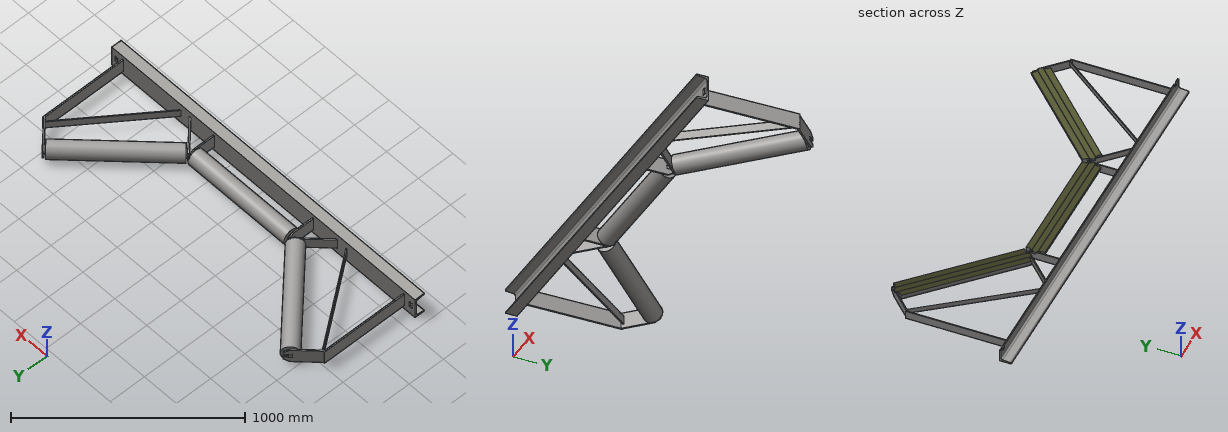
import cadquery as cq
import math


BEAM_LENGTH = 1900.0
BEAM_DEPTH = 120.0
FLANGE_WIDTH = 55.0
WEB_THICKNESS = 8.0
FLANGE_THICKNESS = 9.0
FLANGE_SLOPE = 0.08
ROOT_RADIUS = 9.0
TOE_RADIUS = 4.5
MOUNT_HOLE_LENGTH = 17.0
MOUNT_HOLE_WIDTH = 28.0
MOUNT_HOLE_FROM_END = 28.0

ROLLER_LENGTH = 600.0
ROLLER_DIAMETER = 90.0
ROLLER_RADIUS = ROLLER_DIAMETER / 2
BOSS_BASE_RADIUS = 25.0
END_GAP = 6.6
BOSS_TIP_RADIUS = BOSS_BASE_RADIUS - END_GAP
SHAFT_RADIUS = 12.4
SHAFT_TONGUE = 17.0
CENTRE_ROLLER_HEIGHT = 115.0
SIDE_ROLLER_X = 555.0
SIDE_ROLLER_HEIGHT = 344.0
TROUGH_ANGLE = math.radians(45)

PLATE_THICKNESS = 8.0
PLATE_WIDTH = 76.0
OUTER_POST_X = 884.0
OUTER_POST_TOP = 465.0
ARM_PAST_AXIS = 32.0
TIP_WIDTH = 42.0
TIP_ANGLE = math.radians(30)
BRACKET_TOP = 142.0
LEG_WIDTH = 55.0
STRUT_WIDTH = 40.0
STRUT_THICKNESS = 5.0
STRUT_FOOT_X = 520.0
STRUT_HEAD_X = 870.0

COS_TROUGH = math.cos(TROUGH_ANGLE)
SIN_TROUGH = math.sin(TROUGH_ANGLE)
SUPPORT_NEAR = ROLLER_LENGTH / 2 + END_GAP
SUPPORT_FAR = SUPPORT_NEAR + PLATE_THICKNESS

CENTRE_PLANE = cq.Plane(origin=(0, CENTRE_ROLLER_HEIGHT, 0), xDir=(0, 1, 0), normal=(1, 0, 0))
SIDE_PLANE = cq.Plane(
    origin=(-SIDE_ROLLER_X, SIDE_ROLLER_HEIGHT, 0),
    xDir=(SIN_TROUGH, COS_TROUGH, 0),
    normal=(COS_TROUGH, -SIN_TROUGH, 0),
)


def mirrored(shape):
    """The same shape on the +X side."""
    return shape.mirror("YZ")


def side_point(axial, radial):
    """Point in XY at a distance along and across the axis of the -X side roller."""
    point = SIDE_PLANE.toWorldCoords((radial, 0, axial))
    return (point.x, point.y)


def flat_plate(points, width):
    """Plate with an outline in XY, centred on Z."""
    return cq.Workplane("XY").polyline(points).close().extrude(width / 2, both=True)


def make_channel():
    half_depth = BEAM_DEPTH / 2
    slope_rise = FLANGE_SLOPE * FLANGE_WIDTH / 2
    toe_z = half_depth - (FLANGE_THICKNESS - slope_rise)
    root_z = half_depth - (FLANGE_THICKNESS + slope_rise)
    outline = [
        (0, -half_depth),
        (0, half_depth),
        (-FLANGE_WIDTH, half_depth),
        (-FLANGE_WIDTH, toe_z),
        (-WEB_THICKNESS, root_z),
        (-WEB_THICKNESS, -root_z),
        (-FLANGE_WIDTH, -toe_z),
        (-FLANGE_WIDTH, -half_depth),
    ]
    beam = cq.Workplane("YZ").polyline(outline).close().extrude(BEAM_LENGTH / 2, both=True)
    for y, z, radius in ((-WEB_THICKNESS, root_z, ROOT_RADIUS), (-FLANGE_WIDTH, toe_z, TOE_RADIUS)):
        for side in (-1, 1):
            beam = beam.edges(cq.NearestToPointSelector((0, y, side * z))).fillet(radius)
    hole_x = BEAM_LENGTH / 2 - MOUNT_HOLE_FROM_END
    holes = (
        cq.Workplane("XZ")
        .pushPoints([(-hole_x, 0), (hole_x, 0)])
        .rect(MOUNT_HOLE_LENGTH, MOUNT_HOLE_WIDTH)
        .extrude(WEB_THICKNESS)
    )
    return beam.cut(holes)


def inclined_x(axial, y):
    """X at height y on the inclined plane square to the -X side roller."""
    on_axis_x, on_axis_y = side_point(axial, 0)
    return on_axis_x + (y - on_axis_y) * SIN_TROUGH / COS_TROUGH


def inclined_y(axial, x):
    """Height at x on the inclined plane square to the -X side roller."""
    on_axis_x, on_axis_y = side_point(axial, 0)
    return on_axis_y + (x - on_axis_x) * COS_TROUGH / SIN_TROUGH


def tapered_plate(plane, axial, foot, tip):
    """Plate square to a roller from foot to tip, narrowing evenly to the tip width."""
    taper_length = (PLATE_WIDTH - TIP_WIDTH) / 2 / math.tan(TIP_ANGLE)
    upper_edge = [
        (foot, PLATE_WIDTH / 2),
        (tip - taper_length, PLATE_WIDTH / 2),
        (tip, TIP_WIDTH / 2),
    ]
    lower_edge = [(radial, -z) for radial, z in reversed(upper_edge)]
    return (
        cq.Workplane(plane)
        .workplane(offset=axial)
        .polyline(upper_edge + lower_edge)
        .close()
        .extrude(PLATE_THICKNESS)
    )


def make_outer_arm():
    """Inclined plate that holds the raised end of a side roller."""
    post_inner_x = -OUTER_POST_X + PLATE_THICKNESS
    foot = (post_inner_x - side_point(-SUPPORT_NEAR, 0)[0]) / SIN_TROUGH
    return tapered_plate(SIDE_PLANE, -SUPPORT_FAR, foot, ARM_PAST_AXIS)


def make_outer_post():
    post = [
        (-OUTER_POST_X, 0),
        (-OUTER_POST_X, OUTER_POST_TOP),
        (-OUTER_POST_X + PLATE_THICKNESS, OUTER_POST_TOP),
        (-OUTER_POST_X + PLATE_THICKNESS, 0),
    ]
    return flat_plate(post, PLATE_WIDTH)


def make_strut():
    """Brace from the inclined arm down to the beam."""
    arm_middle = -(SUPPORT_NEAR + SUPPORT_FAR) / 2
    head_y = inclined_y(arm_middle, -STRUT_HEAD_X)
    steepness = math.atan2(head_y, STRUT_HEAD_X - STRUT_FOOT_X)
    half_x = STRUT_THICKNESS / 2 / math.sin(steepness)
    half_y = STRUT_THICKNESS / 2 / math.cos(steepness)
    brace = [
        (-STRUT_HEAD_X, head_y + half_y),
        (-STRUT_HEAD_X, head_y - half_y),
        (-STRUT_FOOT_X - half_x, 0),
        (-STRUT_FOOT_X + half_x, 0),
    ]
    return flat_plate(brace, STRUT_WIDTH)


def make_inner_post():
    """Upright plate that holds one end of the centre roller."""
    foot = -CENTRE_ROLLER_HEIGHT
    tip = BRACKET_TOP - CENTRE_ROLLER_HEIGHT
    return tapered_plate(CENTRE_PLANE, -SUPPORT_FAR, foot, tip)


def make_inner_bridge():
    """Short level plate that joins the inner post and leg at their tops."""
    under_top = BRACKET_TOP - PLATE_THICKNESS
    bridge = [
        (-SUPPORT_NEAR, BRACKET_TOP),
        (inclined_x(SUPPORT_NEAR, BRACKET_TOP), BRACKET_TOP),
        (inclined_x(SUPPORT_NEAR, under_top), under_top),
        (-SUPPORT_NEAR, under_top),
    ]
    return flat_plate(bridge, TIP_WIDTH)


def make_inner_leg():
    """Inclined plate that holds the lower end of a side roller."""
    leg = [
        (inclined_x(SUPPORT_NEAR, 0), 0),
        (inclined_x(SUPPORT_NEAR, BRACKET_TOP), BRACKET_TOP),
        (inclined_x(SUPPORT_FAR, BRACKET_TOP), BRACKET_TOP),
        (inclined_x(SUPPORT_FAR, 0), 0),
    ]
    return flat_plate(leg, LEG_WIDTH)


def make_shaft_slots(plane):
    """Slots open away from the beam, in both supports of a roller."""
    slot_length = SHAFT_TONGUE / 2 + ARM_PAST_AXIS
    slots = cq.Workplane()
    for start in (-SUPPORT_FAR, SUPPORT_NEAR):
        slot = (
            cq.Workplane(plane)
            .workplane(offset=start)
            .center((slot_length - SHAFT_TONGUE) / 2, 0)
            .rect(slot_length, SHAFT_TONGUE)
            .extrude(PLATE_THICKNESS)
        )
        slots = slots.add(slot)
    return slots.combine()


def make_frame():
    frame = make_channel()
    supports = [
        make_outer_post(),
        make_outer_arm(),
        make_strut(),
        make_inner_post(),
        make_inner_bridge(),
        make_inner_leg(),
    ]
    for part in supports:
        frame = frame.union(part).union(mirrored(part))
    side_slots = make_shaft_slots(SIDE_PLANE)
    return frame.cut(side_slots).cut(mirrored(side_slots)).cut(make_shaft_slots(CENTRE_PLANE))


def make_shell(plane):
    """Roller shell with a conical boss on each end and a bore for the shaft."""
    half_section = [
        (SHAFT_RADIUS, -SUPPORT_NEAR),
        (BOSS_TIP_RADIUS, -SUPPORT_NEAR),
        (BOSS_BASE_RADIUS, -ROLLER_LENGTH / 2),
        (ROLLER_RADIUS, -ROLLER_LENGTH / 2),
        (ROLLER_RADIUS, ROLLER_LENGTH / 2),
        (BOSS_BASE_RADIUS, ROLLER_LENGTH / 2),
        (BOSS_TIP_RADIUS, SUPPORT_NEAR),
        (SHAFT_RADIUS, SUPPORT_NEAR),
    ]
    shell = cq.Workplane("XZ").polyline(half_section).close().revolve(360, (0, 0, 0), (0, 1, 0))
    return cq.Workplane(shell.val().moved(cq.Location(plane)))


def make_shaft(plane):
    """Round shaft with a square tongue on each end, flush with the outside of the supports."""
    core = cq.Workplane(plane).circle(SHAFT_RADIUS).extrude(SUPPORT_NEAR, both=True)
    tongues = cq.Workplane(plane).rect(SHAFT_TONGUE, SHAFT_TONGUE).extrude(SUPPORT_FAR, both=True)
    return core.union(tongues)


frame = make_frame()
shells = [make_shell(CENTRE_PLANE), make_shell(SIDE_PLANE), mirrored(make_shell(SIDE_PLANE))]
shafts = [make_shaft(CENTRE_PLANE), make_shaft(SIDE_PLANE), mirrored(make_shaft(SIDE_PLANE))]

result = cq.Compound.makeCompound([body.val() for body in [frame, *shells, *shafts]])